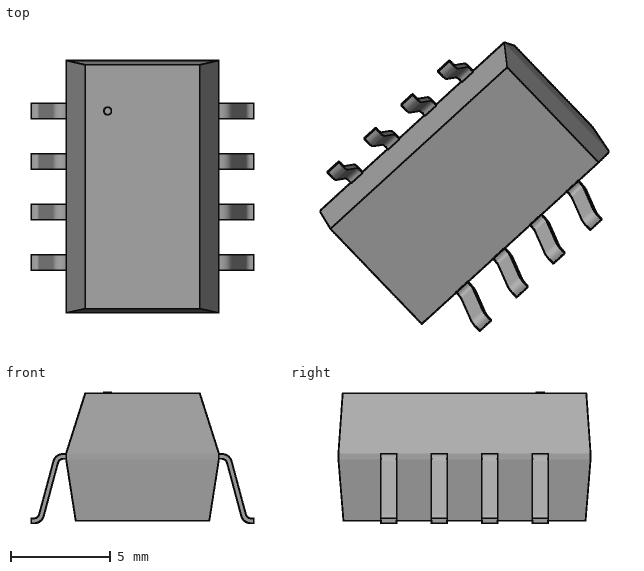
import cadquery as cq
import math

total_width = 11.2
total_height = 6.6

band_width = 7.7
band_length = 12.7
band_top = 3.52
band_height = 0.3
top_width = 5.77
top_length = 12.27
bottom_width = 6.73
bottom_length = 12.19
standoff = 0.13

dot_diameter = 0.38
dot_height = 0.05
dot_x = -1.75

leads_per_side = 4
lead_pitch = 2.54
lead_width = 0.79
lead_thickness = 0.25
lead_tilt = 15.0
shoulder_length = 0.15
inner_bend_radius = 0.25

housing_top = total_height - dot_height
first_lead_y = lead_pitch * (leads_per_side - 1) / 2
dot_y = first_lead_y


def tapered_block(base_z, base_width, base_length, end_z, end_width, end_length):
    """Block whose rectangular section changes evenly from base_z to end_z."""
    return (
        cq.Workplane("XY", origin=(0, 0, base_z))
        .rect(base_width, base_length)
        .workplane(offset=end_z - base_z)
        .rect(end_width, end_length)
        .loft(ruled=True)
    )


def make_housing():
    band_bottom = band_top - band_height
    band = tapered_block(band_bottom, band_width, band_length, band_top, band_width, band_length)
    upper = tapered_block(band_top, band_width, band_length, housing_top, top_width, top_length)
    lower = tapered_block(standoff, bottom_width, bottom_length, band_bottom, band_width, band_length)
    return band.union(upper).union(lower)


def make_dot():
    return (
        cq.Workplane("XY", origin=(dot_x, dot_y, housing_top))
        .circle(dot_diameter / 2)
        .extrude(dot_height)
    )


def arc_point(center, radius, degrees):
    """Point on a circle in the XZ plane, with the angle measured from +X toward +Z."""
    angle = math.radians(degrees)
    return (center[0] + radius * math.cos(angle), center[1] + radius * math.sin(angle))


def make_lead(y):
    """Lead on the +X side, centred at y and on the band: shoulder, tilted leg and foot joined by two bends."""
    outer_bend_radius = inner_bend_radius + lead_thickness
    root_x = band_width / 2
    tip_x = total_width / 2
    lead_top = band_top - (band_height - lead_thickness) / 2
    lead_bottom = lead_top - lead_thickness

    upper_center = (root_x + shoulder_length, lead_top - outer_bend_radius)
    lower_center_z = outer_bend_radius
    center_rise = upper_center[1] - lower_center_z
    bend_radii = inner_bend_radius + outer_bend_radius
    tilt = math.radians(lead_tilt)
    center_run = (bend_radii + center_rise * math.sin(tilt)) / math.cos(tilt)
    lower_center = (upper_center[0] + center_run, lower_center_z)

    upper_end = lead_tilt
    upper_middle = (90 + upper_end) / 2
    lower_start = 180 + lead_tilt
    lower_middle = (lower_start + 270) / 2

    profile = (
        cq.Workplane("XZ", origin=(0, y, 0))
        .moveTo(root_x, lead_top)
        .lineTo(upper_center[0], lead_top)
        .threePointArc(
            arc_point(upper_center, outer_bend_radius, upper_middle),
            arc_point(upper_center, outer_bend_radius, upper_end),
        )
        .lineTo(*arc_point(lower_center, inner_bend_radius, lower_start))
        .threePointArc(
            arc_point(lower_center, inner_bend_radius, lower_middle),
            arc_point(lower_center, inner_bend_radius, 270),
        )
        .lineTo(tip_x, lead_thickness)
        .lineTo(tip_x, 0)
        .lineTo(lower_center[0], 0)
        .threePointArc(
            arc_point(lower_center, outer_bend_radius, lower_middle),
            arc_point(lower_center, outer_bend_radius, lower_start),
        )
        .lineTo(*arc_point(upper_center, inner_bend_radius, upper_end))
        .threePointArc(
            arc_point(upper_center, inner_bend_radius, upper_middle),
            arc_point(upper_center, inner_bend_radius, 90),
        )
        .lineTo(root_x, lead_bottom)
        .close()
    )
    return profile.extrude(lead_width / 2, both=True)


housing = make_housing()
dot = make_dot()

leads = []
for index in range(leads_per_side):
    lead = make_lead(first_lead_y - index * lead_pitch)
    leads.append(lead.val())
    leads.append(lead.mirror("YZ").val())

result = cq.Compound.makeCompound([housing.val(), dot.val(), *leads])